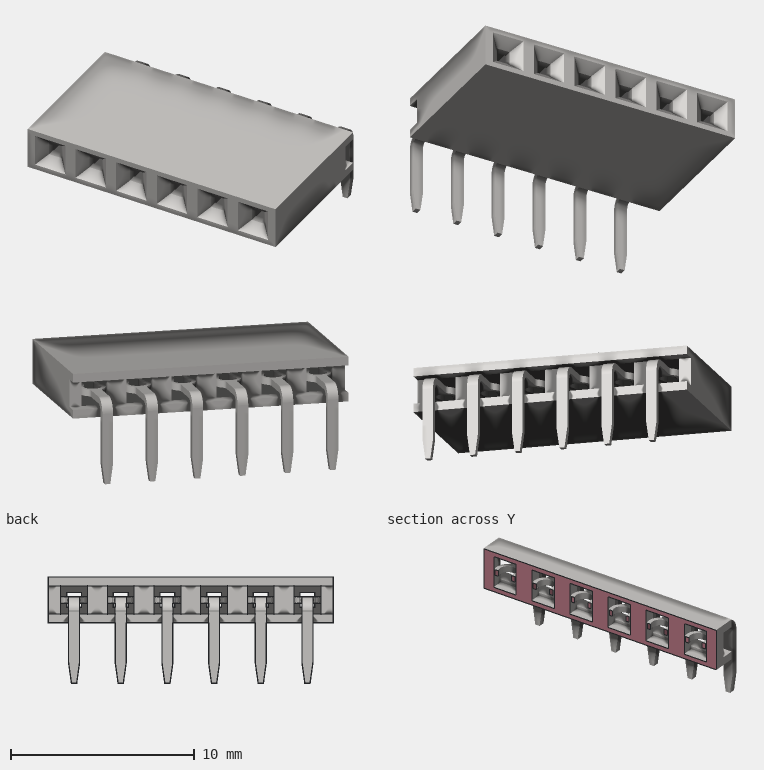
import cadquery as cq
import math

body_length = 15.54
body_depth = 8.5
body_height = 2.5
mid_z = body_height / 2

contact_count = 6
end_margin = 1.41
pitch = (body_length - 2 * end_margin) / (contact_count - 1)
contact_xs = [-body_length / 2 + end_margin + i * pitch for i in range(contact_count)]

slot_depth = 0.8
slot_height = 1.54
slot_floor_y = body_depth - slot_depth

mouth_size = 1.9
throat_size = 0.8
funnel_depth = 0.56
throat_length = 0.44
throat_end_y = funnel_depth + throat_length
chamber_height = mouth_size

strip_width = 0.6
half_width = strip_width / 2
strip_thickness = 0.37
bend_outer_radius = 0.78
bend_inner_radius = bend_outer_radius - strip_thickness
leg_overhang = 2.0
leg_drop = 3.3
taper_length = 1.12
tip_width = 0.3
leg_back_y = body_depth + leg_overhang
strip_top_z = mid_z + strip_thickness / 2

shoulder_setback = 0.48
fork_start_y = slot_floor_y + shoulder_setback
root_fillet_radius = 0.35
root_inner_radius = 0.5
tine_thickness = 0.23
tine_gap = 0.6
bow_inner_radius = 1.32
root_outer_radius = root_inner_radius + tine_thickness
bow_outer_radius = bow_inner_radius - tine_thickness

fillet_x = half_width + root_fillet_radius
fillet_angle = math.acos(fillet_x / (root_outer_radius + root_fillet_radius))
root_y = fork_start_y - (root_outer_radius + root_fillet_radius) * math.sin(fillet_angle)
bow_x = tine_gap / 2 + bow_inner_radius
bow_angle = math.acos(bow_x / (root_inner_radius + bow_inner_radius))
bow_y = root_y - (root_inner_radius + bow_inner_radius) * math.sin(bow_angle)


def on_circle(center, radius, angle):
    """Point of a circle at an angle measured from +X."""
    return (center[0] + radius * math.cos(angle), center[1] + radius * math.sin(angle))


def box_between(size_x, y_front, y_back, size_z):
    """Box centred on x = 0 and on the housing's mid height."""
    depth = y_back - y_front
    return cq.Workplane("XY").box(size_x, depth, size_z).translate((0, y_front + depth / 2, mid_z))


def make_passage():
    """Space cut for one contact: funnel, throat, and a chamber as wide as the fork."""
    funnel = (
        cq.Workplane("XZ", origin=(0, 0, mid_z))
        .rect(mouth_size, mouth_size)
        .workplane(offset=-funnel_depth)
        .rect(throat_size, throat_size)
        .loft(ruled=True)
    )
    throat = box_between(throat_size, funnel_depth, throat_end_y, throat_size)
    chamber = box_between(2 * root_outer_radius, throat_end_y, slot_floor_y, chamber_height)
    return funnel.union(throat).union(chamber)


def make_housing():
    housing = box_between(body_length, 0, body_depth, body_height)
    housing = housing.cut(box_between(body_length, slot_floor_y, body_depth, slot_height))
    passage = make_passage()
    for x in contact_xs:
        housing = housing.cut(passage.translate((x, 0, 0)))
    return housing


def mirrored(point):
    """The point's mirror image across the contact's centre plane."""
    return (-point[0], point[1])


def make_fork():
    """Flat fork: up one side, around each tine and along the root between them."""
    fillet_center = (fillet_x, fork_start_y)
    root_center = (0, root_y)
    bow_center = (bow_x, bow_y)
    shoulder = (
        on_circle(fillet_center, root_fillet_radius, math.pi + fillet_angle / 2),
        on_circle(fillet_center, root_fillet_radius, math.pi + fillet_angle),
    )
    root_outside = (
        on_circle(root_center, root_outer_radius, 0),
        on_circle(root_center, root_outer_radius, -bow_angle),
    )
    tine_outside = (
        on_circle(bow_center, bow_outer_radius, math.pi),
        on_circle(bow_center, bow_outer_radius, math.pi + bow_angle),
    )
    tine_tip = on_circle(bow_center, bow_inner_radius, math.pi + bow_angle)
    tine_inside = (
        on_circle(bow_center, bow_inner_radius, math.pi),
        on_circle(bow_center, bow_inner_radius, math.pi - bow_angle),
    )
    root_inside = (
        on_circle(root_center, root_inner_radius, math.pi / 2),
        mirrored(tine_inside[1]),
    )
    return (
        cq.Workplane("XY", origin=(0, 0, mid_z - strip_thickness / 2))
        .moveTo(half_width, fork_start_y)
        .threePointArc(*shoulder)
        .threePointArc(*root_outside)
        .threePointArc(*tine_outside)
        .lineTo(*tine_tip)
        .threePointArc(*tine_inside)
        .threePointArc(*root_inside)
        .threePointArc(mirrored(tine_inside[0]), mirrored(tine_tip))
        .lineTo(*mirrored(tine_outside[1]))
        .threePointArc(mirrored(tine_outside[0]), mirrored(root_outside[1]))
        .threePointArc(mirrored(root_outside[0]), mirrored(shoulder[1]))
        .threePointArc(mirrored(shoulder[0]), (-half_width, fork_start_y))
        .close()
        .extrude(strip_thickness)
    )


def make_leg():
    """Arm behind the fork, bent down into a leg with a tapered tip."""
    arm_length = leg_back_y - fork_start_y
    leg_length = strip_top_z + leg_drop
    blank = (
        cq.Workplane("YZ", origin=(-half_width, fork_start_y, strip_top_z))
        .lineTo(arm_length, 0)
        .lineTo(arm_length, -leg_length)
        .lineTo(arm_length - strip_thickness, -leg_length)
        .lineTo(arm_length - strip_thickness, -strip_thickness)
        .lineTo(0, -strip_thickness)
        .close()
        .extrude(strip_width)
    )
    blank = blank.edges("|X and >Y and >Z").fillet(bend_outer_radius)
    inner_corner = cq.selectors.NearestToPointSelector(
        (0, leg_back_y - strip_thickness, strip_top_z - strip_thickness)
    )
    blank = blank.edges("|X").edges(inner_corner).fillet(bend_inner_radius)
    taper_outline = (
        cq.Workplane("XZ", origin=(0, leg_back_y, 0))
        .moveTo(-half_width, strip_top_z)
        .lineTo(half_width, strip_top_z)
        .lineTo(half_width, taper_length - leg_drop)
        .lineTo(tip_width / 2, -leg_drop)
        .lineTo(-tip_width / 2, -leg_drop)
        .lineTo(-half_width, taper_length - leg_drop)
        .close()
        .extrude(arm_length)
    )
    return blank.intersect(taper_outline)


def make_contact():
    return make_leg().union(make_fork(), clean=False)


housing = make_housing()
contact = make_contact()
contacts = [contact.translate((x, 0, 0)) for x in contact_xs]

result = cq.Compound.makeCompound([housing.solids().val(), *[c.solids().val() for c in contacts]])